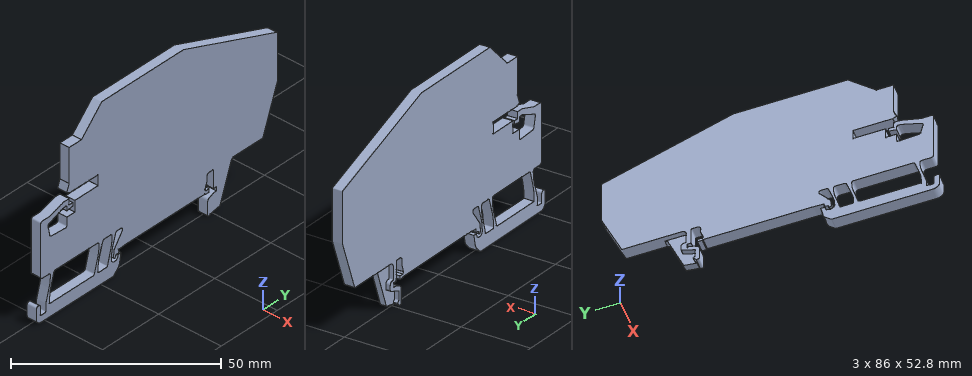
import cadquery as cq
import math

THICKNESS = 3.0
LENGTH = 86.03
HEIGHT = 52.83
WEB_RECESS = 1.25

BODY_BOTTOM = 12.57
BODY_RIGHT = 84.5
RAIL_FACE = 7.03
SHELF = 29.15
SLOT_TOP = 32.3
MARKER_SLOT_END = 63.95
STEP_TOP = 45.53
NOSE = 74.3
LATCH_WALL = 75.1
LATCH_GAP = 72.27
LATCH_STEP = 25.78
LATCH_LIP = 73.0
LATCH_LIP_TOP = 28.9
LATCH_TOP = 30.75
LEG_OUTER = 81.0
GAP_LEFT = 82.62
GAP_RIGHT = 84.5
GAP_FLOOR = 2.1
HOOK_TOP = 5.3
SHORT_WINDOW_LEFT = 59.0
LONG_WINDOW_LEFT = 63.65
LONG_WINDOW_RIGHT = 81.3
BAR_TOP = 3.9
CLIP_RIGHT = 24.96
STRIP_LEFT = 21.58
SLOT_LEFT = 22.83
SLOT_RIGHT = 25.22
LIP_END = 24.4
LIP_BOTTOM = 6.8
LIP_TOP = 7.8
CATCH_WALL = 21.8
CATCH_FLOOR = 5.85
BULGE_LEFT = 20.22
BULGE_TOP = 7.85
WEB_LEFT = 15.7
WEB_OVERLAP = 1.0

SMALL_R = 0.35
BODY_R = 0.7
HOOK_TIP_R = 0.75
SLOT_R = 0.6
UPPER_BEND_R = 12.0
LOWER_BEND_R = 15.0


def rounded_profile(plane, points):
    """Closed profile whose corners carry an optional radius as a third value."""
    corners = []
    count = len(points)
    for index in range(count):
        corner = cq.Vector(*points[index][:2])
        radius = points[index][2] if len(points[index]) > 2 else 0
        if radius == 0:
            corners.append((corner,))
            continue
        to_previous = (cq.Vector(*points[index - 1][:2]) - corner).normalized()
        to_next = (cq.Vector(*points[(index + 1) % count][:2]) - corner).normalized()
        half_angle = to_previous.getAngle(to_next) / 2
        tangent_length = radius / math.tan(half_angle)
        sagitta_gap = radius / math.sin(half_angle) - radius
        bisector = (to_previous + to_next).normalized()
        corners.append((
            corner + to_previous * tangent_length,
            corner + bisector * sagitta_gap,
            corner + to_next * tangent_length,
        ))

    sketch = cq.Workplane(plane).moveTo(*corners[0][-1].toTuple()[:2])
    for corner in corners[1:] + corners[:1]:
        sketch = sketch.lineTo(*corner[0].toTuple()[:2])
        if len(corner) > 1:
            sketch = sketch.threePointArc(corner[1].toTuple()[:2], corner[2].toTuple()[:2])
    return sketch.close()


def plate(points, recess=0.0):
    """Solid with the given profile, from `recess` behind the -X face to the +X face."""
    plane = cq.Plane(
        origin=(recess - THICKNESS / 2, LENGTH / 2, 0), xDir=(0, -1, 0), normal=(-1, 0, 0)
    )
    return rounded_profile(plane, points).extrude(recess - THICKNESS)


UPPER_EDGE = [
    (5.2, BODY_BOTTOM, SMALL_R),
    (0, 26.4, SMALL_R),
    (0, 40.6, SMALL_R),
    (33.5, HEIGHT, SMALL_R),
    (62.65, HEIGHT, SMALL_R),
    (69.9, STEP_TOP),
    (NOSE, STEP_TOP),
    (NOSE, 35.1),
    (75.15, 32.8, SMALL_R / 2),
    (74.1, SLOT_TOP),
    (MARKER_SLOT_END, SLOT_TOP),
    (MARKER_SLOT_END, SHELF),
]

LATCH = [
    (LATCH_GAP, SHELF),
    (LATCH_GAP, LATCH_STEP),
    (LATCH_WALL, LATCH_STEP),
    (LATCH_WALL, 22.85, 0.5),
    (81.1, 23.2, 0.7),
    (81.9, 26.95, 0.7),
    (76.2, 29.08, 0.4),
    (LATCH_WALL, 29.1, 0.4),
    (LATCH_WALL, 27.55),
    (LATCH_LIP, 27.9),
    (LATCH_LIP, LATCH_LIP_TOP),
    (NOSE, LATCH_LIP_TOP),
    (NOSE, LATCH_TOP),
    (76.25, LATCH_TOP, 1.5),
    (81.3, SHELF, SMALL_R),
    (BODY_RIGHT, SHELF, BODY_R),
    (BODY_RIGHT, BODY_BOTTOM, BODY_R),
]

SPRING_FOOT = [
    (LEG_OUTER, BODY_BOTTOM, SLOT_R),
    (LEG_OUTER, 10.1, UPPER_BEND_R),
    (GAP_LEFT, 4.6, SMALL_R),
    (GAP_LEFT, GAP_FLOOR, SMALL_R),
    (GAP_RIGHT, GAP_FLOOR, SMALL_R / 2),
    (GAP_RIGHT, HOOK_TOP, HOOK_TIP_R),
    (LENGTH, HOOK_TOP, HOOK_TIP_R),
    (LENGTH, 0, 1.8),
    (58.5, 0, 0.5),
    (56.4, 2.0, 3.0),
    (55.75, 5.5),
    (56.9, 5.5),
    (56.9, 4.15, 1.1),
    (59.3, 4.15, 1.1),
    (59.25, 7.3, UPPER_BEND_R),
    (57.6, BODY_BOTTOM, SLOT_R),
]

MIDDLE_BLOCK = [
    (54.7, BODY_BOTTOM, SLOT_R),
    (58.3, 7.6, 1.0),
    (58.5, 5.3),
    (58.05, 4.9),
    (57.6, 5.75),
    (56.62, 5.95),
    (56.62, 6.85),
    (53.9, RAIL_FACE),
    (25.85, RAIL_FACE),
    (25.65, LIP_BOTTOM),
    (LIP_END, LIP_BOTTOM),
    (LIP_END, LIP_TOP),
    (25.6, LIP_TOP),
    (25.85, 8.3),
    (SLOT_RIGHT, 10.3),
    (SLOT_RIGHT, BODY_BOTTOM, 0.9),
]

CLIP_STRIP = [
    (SLOT_LEFT, BODY_BOTTOM, SMALL_R),
    (SLOT_LEFT, RAIL_FACE),
    (CATCH_WALL, RAIL_FACE),
    (CATCH_WALL, CATCH_FLOOR),
    (22.6, CATCH_FLOOR, 0.5),
    (CLIP_RIGHT, 4.95, 1.2),
    (CLIP_RIGHT, 0, SMALL_R),
    (24.1, 0),
    (23.35, 0.9),
    (23.87, 1.5, SMALL_R),
    (23.87, 3.98),
    (BULGE_LEFT, 5.4, 0.4),
    (BULGE_LEFT, BULGE_TOP, 0.9),
    (STRIP_LEFT, BULGE_TOP, SMALL_R / 2),
    (STRIP_LEFT, BODY_BOTTOM, 1.3),
]

CLIP_WEB = [
    (WEB_LEFT, BODY_BOTTOM),
    (16.4, 12.1, SMALL_R),
    (20.45, 0.9, 0.4),
    (24.2, 0.2),
    (24.2, 4.2),
    (21.0, 5.6),
    (21.0, 7.5),
    (22.2, 7.9),
    (22.2, BODY_BOTTOM + WEB_OVERLAP),
    (WEB_LEFT, BODY_BOTTOM + WEB_OVERLAP),
]

SHORT_WINDOW = [
    (SHORT_WINDOW_LEFT, BODY_BOTTOM, SLOT_R),
    (SHORT_WINDOW_LEFT, 10.2, UPPER_BEND_R),
    (60.7, BAR_TOP, SMALL_R),
    (64.1, BAR_TOP, SMALL_R),
    (64.0, 6.6, LOWER_BEND_R),
    (62.2, BODY_BOTTOM, SLOT_R),
]

LONG_WINDOW = [
    (LONG_WINDOW_LEFT, BODY_BOTTOM, SLOT_R),
    (LONG_WINDOW_LEFT, 10.1, UPPER_BEND_R),
    (65.4, BAR_TOP, SLOT_R),
    (LONG_WINDOW_RIGHT, BAR_TOP),
    (LONG_WINDOW_RIGHT, 6.6, LOWER_BEND_R),
    (79.6, BODY_BOTTOM, SLOT_R),
]

result = plate(UPPER_EDGE + LATCH + SPRING_FOOT + MIDDLE_BLOCK + CLIP_STRIP)
result = result.union(plate(CLIP_WEB, WEB_RECESS))
for window in (SHORT_WINDOW, LONG_WINDOW):
    result = result.cut(plate(window))